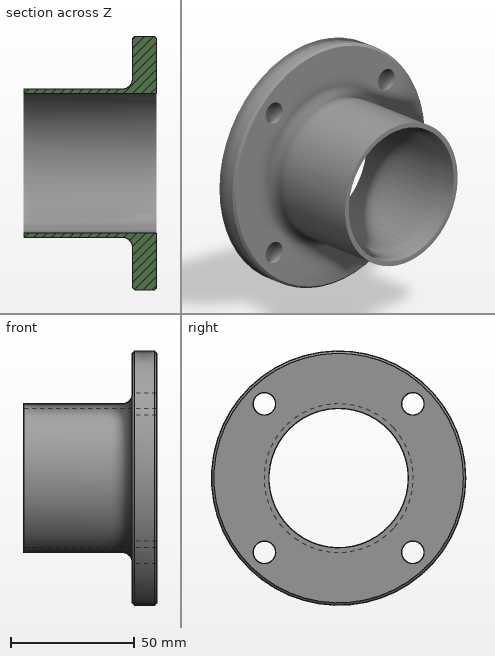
import cadquery as cq

total_length = 54.0

pipe_outer_diameter = 60.3
bore_diameter = 56.3

flange_diameter = 103.0
flange_thickness = 10.0
flange_chamfer = 1.0
flange_start = total_length - flange_thickness

neck_fillet_radius = 4.0

bolt_circle_diameter = 85.0
bolt_hole_diameter = 9.0
bolt_hole_count = 4
first_bolt_angle = 45.0


def flanged_pipe():
    """Pipe, neck fillet and chamfered flange, revolved from one half section."""
    bore_radius = bore_diameter / 2
    pipe_radius = pipe_outer_diameter / 2
    flange_radius = flange_diameter / 2
    half_section = (
        cq.Workplane("XY")
        .moveTo(0, bore_radius)
        .lineTo(0, pipe_radius)
        .lineTo(flange_start - neck_fillet_radius, pipe_radius)
        .radiusArc((flange_start, pipe_radius + neck_fillet_radius), -neck_fillet_radius)
        .lineTo(flange_start, flange_radius - flange_chamfer)
        .lineTo(flange_start + flange_chamfer, flange_radius)
        .lineTo(total_length - flange_chamfer, flange_radius)
        .lineTo(total_length, flange_radius - flange_chamfer)
        .lineTo(total_length, bore_radius)
        .close()
    )
    return half_section.revolve(360, (0, 0, 0), (1, 0, 0))


def bolt_holes():
    """Cutting cylinders for the bolt holes, through the flange."""
    return (
        cq.Workplane("YZ", origin=(flange_start, 0, 0))
        .polarArray(bolt_circle_diameter / 2, first_bolt_angle, 360, bolt_hole_count)
        .circle(bolt_hole_diameter / 2)
        .extrude(flange_thickness)
    )


result = flanged_pipe().cut(bolt_holes())